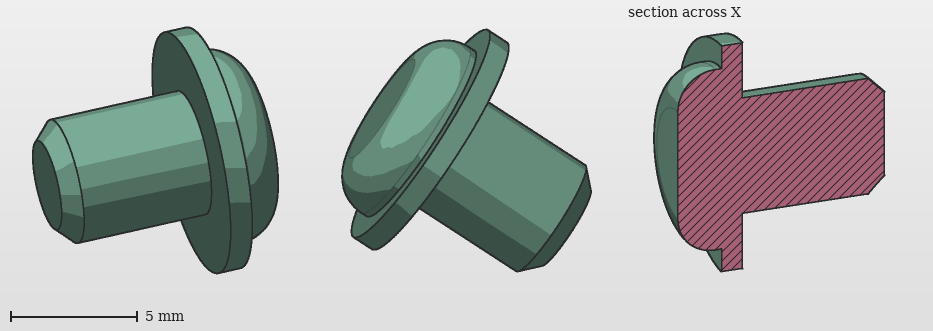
import cadquery as cq

shank_diameter = 5.0
shank_length = 6.0
tip_chamfer = 0.7
flange_diameter = 9.75
flange_thickness = 0.9
head_diameter = 7.8
head_height = 1.85
head_edge_radius = 1.58

tip_y = -shank_length
flange_top_y = flange_thickness


def disc(diameter, start_y, length):
    """Cylinder on the Y axis running from start_y toward +Y."""
    axis_plane = cq.Workplane("XZ", origin=(0, start_y, 0))
    return axis_plane.circle(diameter / 2).extrude(-length)


def make_shank():
    """Plain shank with a 45 degree chamfer at the free end."""
    return disc(shank_diameter, tip_y, shank_length).faces("<Y").chamfer(tip_chamfer)


def make_flange():
    """Flat collar under the head."""
    return disc(flange_diameter, 0, flange_thickness)


def make_head():
    """Pan head: short straight side, generously rounded rim, flat top."""
    return disc(head_diameter, flange_top_y, head_height).faces(">Y").edges().fillet(head_edge_radius)


result = make_shank().union(make_flange()).union(make_head())